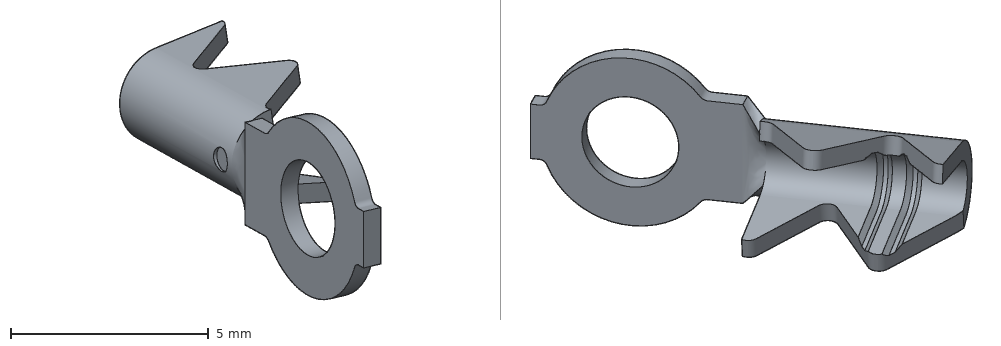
import cadquery as cq
import math


sheet = 0.52

ring_radius = 2.35
hole_radius = 1.26
neck_half_width = 1.39
neck_start = -2.93
neck_fillet = 0.25
tab_end = 2.6
tab_half_width = 0.765
tab_fillet = 0.2

overall_length = 11.37
overall_height = 3.17
barrel_start = tab_end - overall_length
barrel_end = -3.54
barrel_length = barrel_end - barrel_start
barrel_radius = 1.3
barrel_inner_radius = barrel_radius - sheet
barrel_axis_y = barrel_radius
wing_tilt = math.radians(9)
wing_length = (
    overall_height - barrel_axis_y + barrel_inner_radius * math.sin(wing_tilt)
) / math.cos(wing_tilt)

half_pitch_count = 3
tooth_half_pitch = 1.69
tooth_offset = 0.04
tooth_round = 0.3
tooth_slope = math.radians(54.9)
valley_height = 0.06

groove_centers = (-7.39, -6.62)
groove_top_width = 0.4
groove_floor_width = 0.12
groove_depth = 0.13

recess_x = -4.07
recess_radius = 0.32
recess_depth = 0.1

transition_angle = math.radians(57)


def plate_strip(x_end, half_width):
    """Flat strip of sheet from the ring centre out to x_end."""
    return (
        cq.Workplane("XZ")
        .center(x_end / 2, 0)
        .rect(abs(x_end), 2 * half_width)
        .extrude(-sheet)
    )


def fillet_strip_corners(plate, side, half_width, radius):
    """Round the two inner corners where a strip leaves the ring."""
    corner_x = side * math.sqrt(ring_radius**2 - half_width**2)
    margin = 0.05
    low = (corner_x - margin, -margin, -half_width - margin)
    high = (corner_x + margin, sheet + margin, half_width + margin)
    return plate.edges("|Y").edges(cq.selectors.BoxSelector(low, high)).fillet(radius)


def ring_tongue():
    """Flat ring with the neck on one side and the end tab on the other."""
    plate = cq.Workplane("XZ").circle(ring_radius).extrude(-sheet)
    plate = plate.union(plate_strip(neck_start, neck_half_width))
    plate = plate.union(plate_strip(tab_end, tab_half_width))
    plate = fillet_strip_corners(plate, -1, neck_half_width, neck_fillet)
    plate = fillet_strip_corners(plate, 1, tab_half_width, tab_fillet)
    hole = cq.Workplane("XZ").circle(hole_radius).extrude(-sheet)
    return plate.cut(hole)


def wing_point(side, radius, along):
    """(Y, Z) point on a wing face: radius picks the face, along runs to the tip."""
    y = barrel_axis_y - radius * math.sin(wing_tilt) + along * math.cos(wing_tilt)
    z = radius * math.cos(wing_tilt) + along * math.sin(wing_tilt)
    return (y, side * z)


def open_channel(inner_radius, outer_radius, x_start, length):
    """U-shaped channel with tilted straight wings, extruded along X."""
    return (
        cq.Workplane("YZ", origin=(x_start, 0, 0))
        .moveTo(*wing_point(1, outer_radius, wing_length))
        .lineTo(*wing_point(1, outer_radius, 0))
        .threePointArc((barrel_axis_y - outer_radius, 0), wing_point(-1, outer_radius, 0))
        .lineTo(*wing_point(-1, outer_radius, wing_length))
        .lineTo(*wing_point(-1, inner_radius, wing_length))
        .lineTo(*wing_point(-1, inner_radius, 0))
        .threePointArc((barrel_axis_y - inner_radius, 0), wing_point(1, inner_radius, 0))
        .lineTo(*wing_point(1, inner_radius, wing_length))
        .close()
        .extrude(length)
    )


def wing_trim(side, first_is_peak):
    """Solid above the zigzag edge of one wing, square to the wing's faces."""
    rise = tooth_half_pitch * math.tan(tooth_slope)
    setback = tooth_round * (1 / math.cos(tooth_slope) - 1)
    low = valley_height - setback
    high = low + rise
    clear = high + wing_length

    if first_is_peak:
        points = [(-tooth_half_pitch, low), (0, high)]
    else:
        points = [(-tooth_half_pitch, low - rise)]
    for step in range(1, half_pitch_count + 2):
        is_peak = (step % 2 == 0) == first_is_peak
        points.append((step * tooth_half_pitch, high if is_peak else low))
    points += [(points[-1][0], clear), (points[0][0], clear)]

    across = cq.Vector(0, -side * math.sin(wing_tilt), math.cos(wing_tilt))
    wing_plane = cq.Plane(
        origin=(barrel_start + tooth_offset, barrel_axis_y, 0), xDir=(1, 0, 0), normal=across
    )
    return (
        cq.Workplane(wing_plane)
        .polyline(points)
        .close()
        .extrude(side * 2 * barrel_radius)
        .edges(cq.selectors.ParallelDirSelector(across))
        .fillet(tooth_round)
    )


def grip_groove(center_x):
    """Trapezoidal groove following the inside of the channel from tip to tip."""
    path = (
        cq.Workplane("YZ", origin=(center_x, 0, 0))
        .moveTo(*wing_point(-1, barrel_inner_radius, wing_length))
        .lineTo(*wing_point(-1, barrel_inner_radius, 0))
        .threePointArc(
            (barrel_axis_y - barrel_inner_radius, 0), wing_point(1, barrel_inner_radius, 0)
        )
        .lineTo(*wing_point(1, barrel_inner_radius, wing_length))
    )
    tip_y, tip_z = wing_point(-1, barrel_inner_radius, wing_length)
    tip_plane = cq.Plane(
        origin=(center_x, tip_y, tip_z),
        xDir=(1, 0, 0),
        normal=(0, -math.cos(wing_tilt), math.sin(wing_tilt)),
    )
    return (
        cq.Workplane(tip_plane)
        .polyline(
            [
                (-groove_top_width / 2, 0),
                (groove_top_width / 2, 0),
                (groove_floor_width / 2, -groove_depth),
                (-groove_floor_width / 2, -groove_depth),
            ]
        )
        .close()
        .sweep(path)
    )


def crimp_barrel():
    """Open barrel with zigzag wings, grip grooves and a round recess underneath."""
    barrel = open_channel(barrel_inner_radius, barrel_radius, barrel_start, barrel_length)
    for center_x in groove_centers:
        barrel = barrel.cut(grip_groove(center_x))
    barrel = barrel.cut(wing_trim(1, first_is_peak=True))
    barrel = barrel.cut(wing_trim(-1, first_is_peak=False))
    recess = (
        cq.Workplane("XZ", origin=(recess_x, 0, 0))
        .circle(recess_radius)
        .extrude(-recess_depth)
    )
    return barrel.cut(recess)


def sector_point(radius, angle):
    """(Y, Z) point on the barrel's round floor, angle measured from its lowest line."""
    return (barrel_axis_y - radius * math.cos(angle), radius * math.sin(angle))


def transition():
    """Trough that flattens from the barrel floor into the plate."""
    outer_low = (barrel_axis_y - barrel_radius, 0)
    inner_low = (barrel_axis_y - barrel_inner_radius, 0)
    return (
        cq.Workplane("YZ", origin=(barrel_end, 0, 0))
        .moveTo(*sector_point(barrel_radius, -transition_angle))
        .threePointArc(outer_low, sector_point(barrel_radius, transition_angle))
        .lineTo(*sector_point(barrel_inner_radius, transition_angle))
        .threePointArc(inner_low, sector_point(barrel_inner_radius, -transition_angle))
        .close()
        .workplane(offset=neck_start - barrel_end)
        .moveTo(0, -neck_half_width)
        .lineTo(0, neck_half_width)
        .lineTo(sheet, neck_half_width)
        .lineTo(sheet, -neck_half_width)
        .close()
        .loft(ruled=True)
    )


result = ring_tongue().union(transition()).union(crimp_barrel())